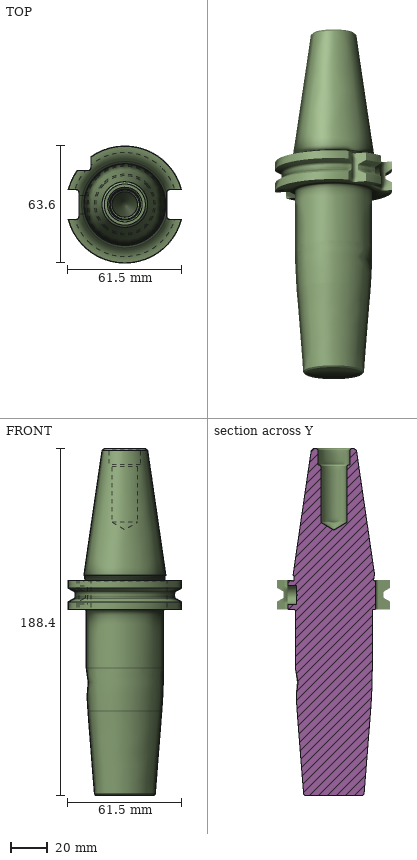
import cadquery as cq
import math

gauge_radius = 44.45 / 2
taper_length = 68.4
taper_slope = 7 / 24 / 2
shank_end_chamfer = 1.1
shank_end_radius = gauge_radius - taper_length * taper_slope

gauge_land = 0.4
neck_radius = 21.9
undercut_start = -1.7
undercut_depth = 0.25
undercut_fillet = 0.6
undercut_outer_radius = 23.5

flange_radius = 63.55 / 2
flange_top = -3.2
flange_bottom = -19.1
groove_center = -11.1
rim_clearance = 2 * flange_radius
groove_floor_radius = 28.25
groove_mouth_half_width = 3.7
groove_side_angle = math.radians(30)
groove_fillet = 1.0
groove_depth = flange_radius - groove_floor_radius
groove_floor_half_width = groove_mouth_half_width - groove_depth * math.tan(groove_side_angle)

slot_width = 16.1
slot_floor_left = 25.0
slot_floor_right = 22.8
slot_fillet = 1.6

notch_offset = 18.5
notch_fillet = 1.5

pocket_diameter = 10.0
pocket_depth = 4.6
pocket_center_diameter = 0.5
pocket_center_depth = 0.5

body_radius = 42.0 / 2
body_fillet = 0.5
nose_end = -120.0
cylinder_end = -50.8
cone_start = -74.0
cone_angle = math.radians(4.5)
nose_chamfer = 0.8

bore_mouth_radius = 9.4
bore_radius = 8.5
bore_depth = 8.7
drill_edge_radius = 7.9
drill_radius = 6.9
drill_depth = 40.0
drill_tip_angle = math.radians(118)


def turn(outline):
    """Solid of revolution of a closed (radius, Z) outline about the part axis."""
    return outline.revolve(360, (0, 0), (0, 1))


def make_shank_and_neck():
    neck_transition = gauge_radius - neck_radius
    undercut_radius = neck_radius - undercut_depth
    undercut_floor = flange_top - undercut_depth
    fillet_mid_offset = undercut_fillet * (1 - math.sqrt(0.5))
    fillet_mid = (undercut_radius + fillet_mid_offset, undercut_floor + fillet_mid_offset)
    outline = (
        cq.Workplane("XZ")
        .moveTo(0, taper_length)
        .lineTo(shank_end_radius - shank_end_chamfer, taper_length)
        .lineTo(shank_end_radius + shank_end_chamfer * taper_slope, taper_length - shank_end_chamfer)
        .lineTo(gauge_radius, 0)
        .lineTo(gauge_radius, -gauge_land)
        .lineTo(neck_radius, -gauge_land - neck_transition)
        .lineTo(neck_radius, undercut_start)
        .lineTo(undercut_radius, undercut_floor + undercut_fillet)
        .threePointArc(fillet_mid, (undercut_radius + undercut_fillet, undercut_floor))
        .lineTo(undercut_outer_radius, flange_top)
        .lineTo(undercut_outer_radius, groove_center)
        .lineTo(0, groove_center)
        .close()
    )
    return turn(outline)


def make_flange():
    outline = (
        cq.Workplane("XZ")
        .moveTo(undercut_outer_radius, flange_top)
        .lineTo(flange_radius, flange_top)
        .lineTo(flange_radius, groove_center + groove_mouth_half_width)
        .lineTo(groove_floor_radius, groove_center + groove_floor_half_width)
        .lineTo(groove_floor_radius, groove_center - groove_floor_half_width)
        .lineTo(flange_radius, groove_center - groove_mouth_half_width)
        .lineTo(flange_radius, flange_bottom)
        .lineTo(0, flange_bottom)
        .lineTo(0, groove_center)
        .lineTo(undercut_outer_radius, groove_center)
        .close()
    )
    groove_corners = cq.selectors.RadiusNthSelector(1)
    return turn(outline).edges(groove_corners).fillet(groove_fillet)


def cut_block(x_inner, x_outer, y_low, y_high):
    """Block through the full flange height, used to cut its rim."""
    x_size = abs(x_outer - x_inner)
    y_size = y_high - y_low
    corner = (min(x_inner, x_outer), y_low, flange_bottom)
    return cq.Workplane("XY", origin=corner).box(x_size, y_size, flange_top - flange_bottom, centered=False)


def make_slot(side, floor_distance):
    block = cut_block(side * floor_distance, side * rim_clearance, -slot_width / 2, slot_width / 2)
    inner_edges = "|Z and <X" if side > 0 else "|Z and >X"
    return block.edges(inner_edges).fillet(slot_fillet)


def make_notch():
    block = cut_block(-notch_offset, -rim_clearance, notch_offset, rim_clearance)
    return block.edges("|Z and >X and <Y").fillet(notch_fillet)


def make_pocket():
    return (
        cq.Workplane("YZ", origin=(-slot_floor_left, 0, groove_center))
        .circle(pocket_diameter / 2)
        .extrude(pocket_depth)
        .faces(">X")
        .workplane()
        .circle(pocket_center_diameter / 2)
        .extrude(pocket_center_depth)
    )


def make_nose():
    fillet_mid_offset = body_fillet * (1 - math.sqrt(0.5))
    fillet_mid = (body_radius + fillet_mid_offset, flange_bottom - fillet_mid_offset)
    arc_radius = (cylinder_end - cone_start) / math.sin(cone_angle)
    cone_start_radius = body_radius - arc_radius * (1 - math.cos(cone_angle))
    arc_mid_radius = body_radius - arc_radius * (1 - math.cos(cone_angle / 2))
    arc_mid_z = cylinder_end - arc_radius * math.sin(cone_angle / 2)
    chamfer_top = nose_end + nose_chamfer
    cone_end_radius = cone_start_radius - (cone_start - chamfer_top) * math.tan(cone_angle)
    outline = (
        cq.Workplane("XZ")
        .moveTo(0, flange_bottom)
        .lineTo(body_radius + body_fillet, flange_bottom)
        .threePointArc(fillet_mid, (body_radius, flange_bottom - body_fillet))
        .lineTo(body_radius, cylinder_end)
        .threePointArc((arc_mid_radius, arc_mid_z), (cone_start_radius, cone_start))
        .lineTo(cone_end_radius, chamfer_top)
        .lineTo(cone_end_radius - nose_chamfer, nose_end)
        .lineTo(0, nose_end)
        .close()
    )
    return turn(outline)


def make_bore():
    mouth_chamfer = bore_mouth_radius - bore_radius
    drill_chamfer = drill_edge_radius - drill_radius
    bore_floor = taper_length - bore_depth
    drill_floor = taper_length - drill_depth
    drill_tip = drill_floor - drill_radius / math.tan(drill_tip_angle / 2)
    outline = (
        cq.Workplane("XZ")
        .moveTo(0, taper_length)
        .lineTo(bore_mouth_radius, taper_length)
        .lineTo(bore_radius, taper_length - mouth_chamfer)
        .lineTo(bore_radius, bore_floor)
        .lineTo(drill_edge_radius, bore_floor)
        .lineTo(drill_radius, bore_floor - drill_chamfer)
        .lineTo(drill_radius, drill_floor)
        .lineTo(0, drill_tip)
        .close()
    )
    return turn(outline)


result = (
    make_flange()
    .union(make_shank_and_neck())
    .union(make_nose())
    .cut(make_slot(-1, slot_floor_left))
    .cut(make_slot(1, slot_floor_right))
    .cut(make_notch())
    .cut(make_pocket())
    .cut(make_bore())
)